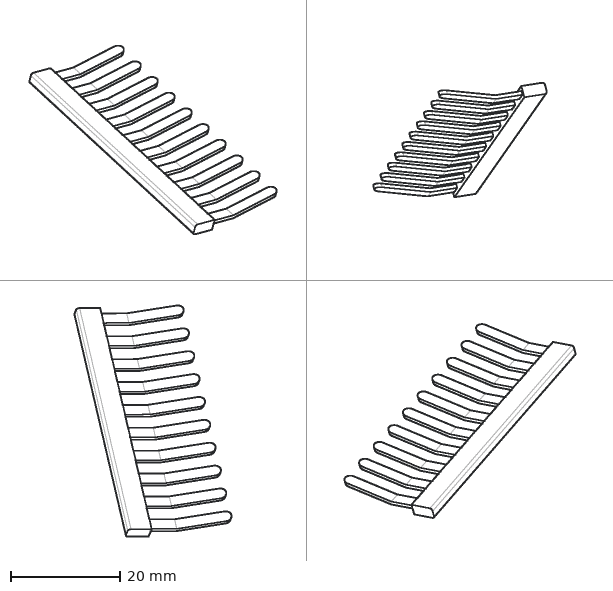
import cadquery as cq
import math

bar_length = 50.3
bar_depth = 4.55
bar_height = 2.25
bar_edge_radius = 0.5

pin_count = 10
end_margin = 1.75
pin_pitch = (bar_length - 2 * end_margin) / (pin_count - 1)
pin_width = 2.2
pin_thickness = 0.75
bend_angle = 15.0
sloped_length = 5.2
flat_length = 10.5

bend = math.radians(bend_angle)
half_thickness = pin_thickness / 2
tip_radius = pin_width / 2



def make_bar():
    """Carrier bar centred on the sloped legs, with its two front edges rounded."""
    bar = cq.Workplane("XY").box(bar_length, bar_depth, bar_height)
    bar = bar.faces("<Y").edges("|X").fillet(bar_edge_radius)
    return bar.translate((0, -sloped_length - bar_depth / 2, 0))


def make_pin():
    """Bent strip of constant thickness with a round tip, centred on X = 0."""
    miter_offset = half_thickness * math.tan(bend / 2)
    end_y = flat_length * math.cos(bend)
    end_z = flat_length * math.sin(bend)
    normal_y = half_thickness * math.sin(bend)
    normal_z = half_thickness * math.cos(bend)
    end_y += pin_thickness * math.cos(bend)
    end_z += pin_thickness * math.sin(bend)
    strip = (
        cq.Workplane("YZ")
        .polyline([
            (-sloped_length, -half_thickness),
            (miter_offset, -half_thickness),
            (end_y + normal_y, end_z - normal_z),
            (end_y - normal_y, end_z + normal_z),
            (-miter_offset, half_thickness),
            (-sloped_length, half_thickness),
        ])
        .close()
        .extrude(tip_radius, both=True)
    )

    tip_y = flat_length * math.cos(bend) - normal_y
    outline = (
        cq.Workplane("XY")
        .moveTo(-tip_radius, -sloped_length)
        .lineTo(tip_radius, -sloped_length)
        .lineTo(tip_radius, tip_y - tip_radius)
        .threePointArc((0, tip_y), (-tip_radius, tip_y - tip_radius))
        .close()
        .extrude(flat_length, both=True)
    )
    return strip.intersect(outline)


comb = make_bar()
pin = make_pin()
for index in range(pin_count):
    pin_x = (index - (pin_count - 1) / 2) * pin_pitch
    comb = comb.union(pin.translate((pin_x, 0, 0)))

result = comb.rotate((0, 0, 0), (1, 0, 0), -bend_angle).translate((0, 0, half_thickness))